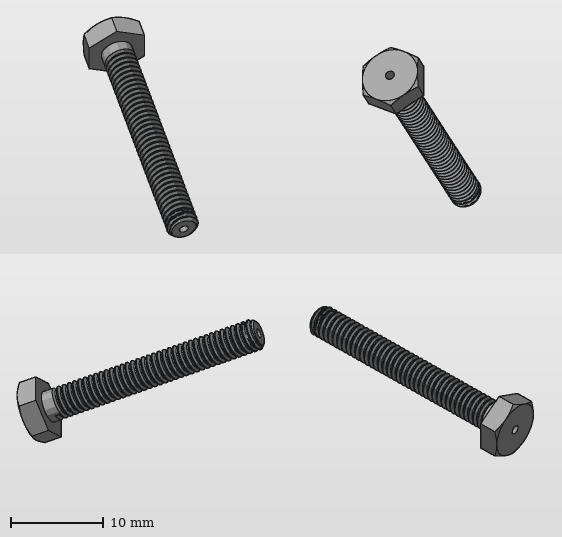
import cadquery as cq
import math


total_length = 27.7
head_height = 2.27
across_flats = 6.25
hex_half_angle = 30.0
across_corners = across_flats / math.cos(math.radians(hex_half_angle))
head_chamfer_angle = 30.0

shank_diameter = 3.52
shank_radius = shank_diameter / 2
shank_length = total_length - head_height
tip_chamfer = 0.4
bore_diameter = 1.0

turns_per_shank_length = 40
thread_pitch = shank_length / turns_per_shank_length
thread_start = 3.1
thread_depth = 0.33
crest_width = 0.097
groove_width = thread_pitch - crest_width
thread_angle = 60.0
flank_slope = math.tan(math.radians(thread_angle / 2))
root_width = groove_width - 2 * thread_depth * flank_slope

cutter_overhang = 0.015
run_past_tip = thread_pitch


def make_head():
    """Hexagonal prism with corners on +Z and -Z, its outer corners bevelled by a cone."""
    prism = (
        cq.Workplane("YZ")
        .polygon(6, across_corners)
        .extrude(head_height)
        .rotate((0, 0, 0), (1, 0, 0), hex_half_angle)
    )
    face_radius = across_flats / 2
    base_radius = face_radius + head_height / math.tan(math.radians(head_chamfer_angle))
    cone = (
        cq.Workplane("XY")
        .polyline([(0, 0), (0, face_radius), (head_height, base_radius), (head_height, 0)])
        .close()
        .revolve(360, (0, 0, 0), (1, 0, 0))
    )
    return prism.intersect(cone)


def make_shank():
    """Plain cylinder with a chamfered tip."""
    return (
        cq.Workplane("YZ", origin=(head_height, 0, 0))
        .circle(shank_radius)
        .extrude(shank_length)
        .faces(">X")
        .chamfer(tip_chamfer)
    )


def make_thread_groove():
    """Helical trapezoid that leaves the thread ridges standing on the shank."""
    root_radius = shank_radius - thread_depth
    cutter_radius = shank_radius + cutter_overhang
    root_half_width = root_width / 2
    outer_half_width = groove_width / 2 + cutter_overhang * flank_slope
    groove_center = thread_start + groove_width / 2

    helix_length = total_length + run_past_tip - groove_center
    helix = cq.Wire.makeHelix(thread_pitch, helix_length, shank_radius)
    helix_plane = cq.Plane(origin=(groove_center, 0, 0), xDir=(0, 0, -1), normal=(1, 0, 0))
    helix = helix.moved(cq.Location(helix_plane))

    profile = (
        cq.Workplane("XZ")
        .polyline([
            (groove_center - outer_half_width, -cutter_radius),
            (groove_center - root_half_width, -root_radius),
            (groove_center + root_half_width, -root_radius),
            (groove_center + outer_half_width, -cutter_radius),
        ])
        .close()
    )
    return profile.sweep(cq.Workplane(helix), isFrenet=True)


bore = cq.Workplane("YZ").circle(bore_diameter / 2).extrude(total_length)
blank = make_head().union(make_shank()).cut(bore)

result = blank.cut(make_thread_groove()).solids()